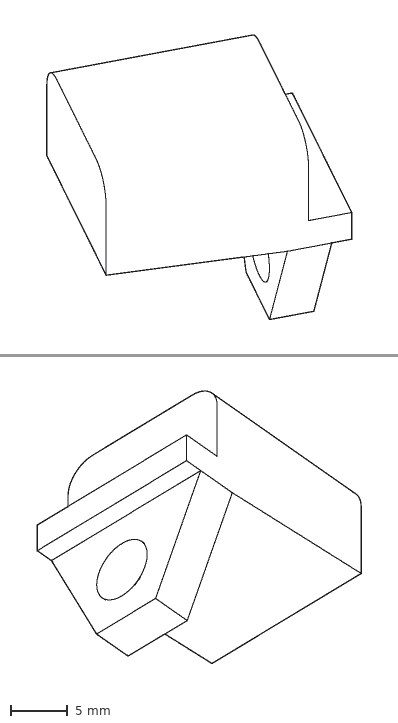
import cadquery as cq

width = 18.0
length = 22.7
height = 23.6
top_edge_radius = 3.0

ledge_length = 4.0
ledge_thickness = 3.0

tab_height = 11.7
tab_thickness = 4.1
tab_back_inset = 1.85
tab_tip_width = 7.13
hole_diameter = 6.1
hole_offset_x = 0.5
hole_height = 5.7

front_rise = 1.1

ledge_top = tab_height + ledge_thickness
block_back = length - ledge_length
tab_back = length - tab_back_inset
tab_front = tab_back - tab_thickness


def make_body():
    """Stepped side outline swept across the width, with the long top edges rounded."""
    outline = [
        (0, tab_height + front_rise),
        (tab_front, tab_height),
        (length, tab_height),
        (length, ledge_top),
        (block_back, ledge_top),
        (block_back, height),
        (0, height),
    ]
    body = cq.Workplane("YZ").polyline(outline).close().extrude(width / 2, both=True)
    return body.faces(">Z").edges("|Y").fillet(top_edge_radius)


def make_tab():
    """Tapered plate, full width at the block and narrow at its tip, with a through hole."""
    outline = [
        (-tab_tip_width / 2, 0),
        (tab_tip_width / 2, 0),
        (width / 2, tab_height),
        (-width / 2, tab_height),
    ]
    back_plane = cq.Workplane("XZ", origin=(0, tab_back, 0))
    plate = back_plane.polyline(outline).close().extrude(tab_thickness)
    hole = back_plane.center(hole_offset_x, hole_height).circle(hole_diameter / 2).extrude(tab_thickness)
    return plate.cut(hole)


result = make_body().union(make_tab())